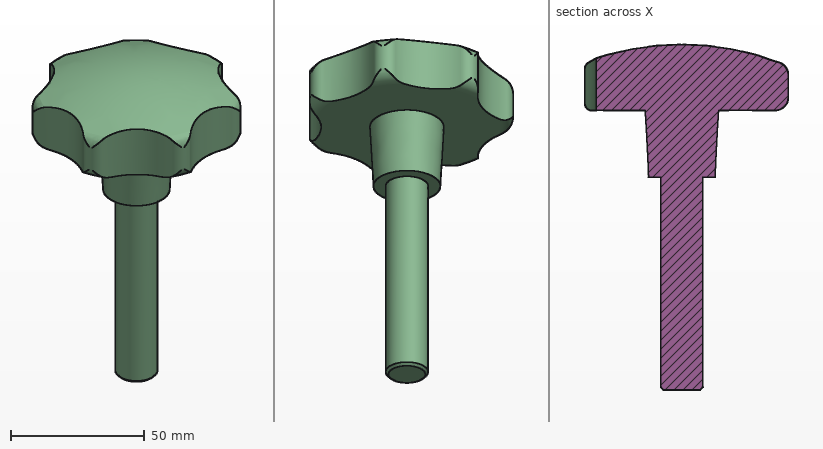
import cadquery as cq
import math

total_height = 130.0
stud_length = 80.0
grip_bottom = 105.0

stud_radius = 8.0
stud_chamfer = 1.0
neck_bottom_radius = 12.6
neck_top_radius = 13.9

lobe_count = 7
grip_radius = 40.0
lobe_tip_radius = 5.0
valley_distance = 32.2
dome_radius = 102.7
rim_fillet = 5.0

lobe_pitch = 360 / lobe_count
first_lobe_angle = -90
lobe_centre_distance = grip_radius - lobe_tip_radius


def polar(distance, angle):
    """Point at a distance from the axis, with its angle in degrees."""
    radians = math.radians(angle)
    return distance * math.cos(radians), distance * math.sin(radians)


def scallop_centre_distance():
    """Distance at which a scallop touches the valley and is tangent to both lobe tips."""
    tangent_offset = valley_distance - lobe_tip_radius
    half_pitch = math.radians(lobe_pitch / 2)
    return (lobe_centre_distance**2 - tangent_offset**2) / (
        2 * (lobe_centre_distance * math.cos(half_pitch) - tangent_offset)
    )


def star_outline():
    """Closed outline of round lobe tips joined by tangent scallops."""
    scallop_distance = scallop_centre_distance()
    scallop_radius = scallop_distance - valley_distance
    tip_share = lobe_tip_radius / (lobe_tip_radius + scallop_radius)

    def tangent_point(lobe_angle, scallop_angle):
        lobe_x, lobe_y = polar(lobe_centre_distance, lobe_angle)
        scallop_x, scallop_y = polar(scallop_distance, scallop_angle)
        return (
            lobe_x + tip_share * (scallop_x - lobe_x),
            lobe_y + tip_share * (scallop_y - lobe_y),
        )

    first_valley_angle = first_lobe_angle - lobe_pitch / 2
    outline = cq.Workplane("XY").workplane(offset=grip_bottom)
    outline = outline.moveTo(*tangent_point(first_lobe_angle, first_valley_angle))
    for index in range(lobe_count):
        lobe_angle = first_lobe_angle + index * lobe_pitch
        valley_angle = lobe_angle + lobe_pitch / 2
        next_lobe_angle = lobe_angle + lobe_pitch
        outline = outline.threePointArc(
            polar(grip_radius, lobe_angle), tangent_point(lobe_angle, valley_angle)
        )
        outline = outline.threePointArc(
            polar(valley_distance, valley_angle), tangent_point(next_lobe_angle, valley_angle)
        )
    return outline.close()


def domed_disc():
    """Disc with a spherical top and both rim edges rounded."""
    dome_centre_z = total_height - dome_radius
    rim_z = dome_centre_z + math.sqrt(dome_radius**2 - grip_radius**2)
    mid_radius = grip_radius / 2
    mid_z = dome_centre_z + math.sqrt(dome_radius**2 - mid_radius**2)
    disc = (
        cq.Workplane("XZ")
        .moveTo(0, grip_bottom)
        .lineTo(grip_radius, grip_bottom)
        .lineTo(grip_radius, rim_z)
        .threePointArc((mid_radius, mid_z), (0, total_height))
        .close()
        .revolve(360, (0, 0, 0), (0, 1, 0))
    )
    return disc.edges("%CIRCLE").fillet(rim_fillet)


def tapered_neck():
    """Neck that narrows from the grip down to the stud."""
    return (
        cq.Workplane("XZ")
        .moveTo(0, stud_length)
        .lineTo(neck_bottom_radius, stud_length)
        .lineTo(neck_top_radius, grip_bottom)
        .lineTo(0, grip_bottom)
        .close()
        .revolve(360, (0, 0, 0), (0, 1, 0))
    )


grip = star_outline().extrude(total_height - grip_bottom).intersect(domed_disc())
stud = cq.Workplane("XY").circle(stud_radius).extrude(stud_length).faces("<Z").chamfer(stud_chamfer)

result = grip.union(tapered_neck()).union(stud)